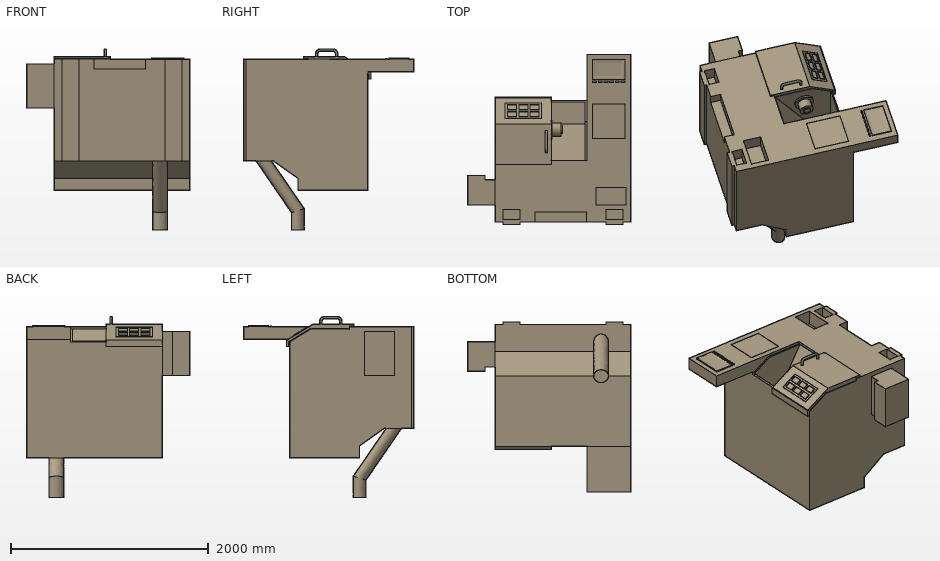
import cadquery as cq
import math


WIDTH = 1370.0
DEPTH = 1231.0
HEIGHT = 1329.0
BASE_FRONT = 522.0
BASE_STEP_HEIGHT = 123.0
OVERHANG_START = 271.0
OVERHANG_HEIGHT = 300.0

ARM_X = 925.0
ARM_LENGTH = 464.0
ARM_HEIGHT = 128.0

RIB_INSET = 77.0
RIB_WIDTH = 176.0
RIB_DEPTH = 25.0
RIB_POCKET_LENGTH = 103.0
POCKET_DEPTH = 148.0

GRIP_X = 403.0
GRIP_WIDTH = 519.0
GRIP_SIZE = 103.0
TRAY_X = 1020.0
TRAY_Y = 172.0
TRAY_WIDTH = 300.0
TRAY_LENGTH = 180.0

DOOR_WIDTH = 568.0
DOOR_RISE = 25.0
DOOR_TOP = HEIGHT + DOOR_RISE
DOOR_THICKNESS = 45.0
DOOR_LIP = 44.0
DOOR_REAR_THICKNESS = 25.0
DOOR_SKIRT_BOTTOM = 1125.0
DOOR_APEX_Y = 993.0
DOOR_SLOPE = 31.3
DOOR_CORNER_FLAT = 7.0
DOOR_GAP = 5.0

TRACK_FRONT = 625.0
TRACK_FLOOR = DOOR_TOP - DOOR_THICKNESS - DOOR_GAP

CHAMBER_LEFT = 555.0
CHAMBER_RIGHT = 909.0
CHAMBER_WALL = 15.0
CHAMBER_BACK = DEPTH - CHAMBER_WALL
CHUTE_END = 990.0
CHUTE_SLOPE = 58.8

SPINDLE_Y = 935.0
SPINDLE_Z = 1100.0
SPINDLE_STEPS = [(190.0, 575.0), (135.0, 665.0), (75.0, 678.0)]

BOX_WIDTH = 279.0
BOX_Y = 172.0
BOX_LENGTH = 300.0
BOX_BOTTOM = 832.0
BOX_HEIGHT = 447.0
BOX_NOTCH_WIDTH = 103.0
BOX_NOTCH_LENGTH = 42.0

PIPE_X = 1070.0
PIPE_SIZE_X = 150.0
PIPE_SIZE_Y = 130.0
PIPE_TOP_Y = 176.0
PIPE_EMBEDDING = 73.0
PIPE_ELBOW_Y = 522.0
PIPE_ELBOW_Z = -203.0
PIPE_BOTTOM = -401.0

SCREEN_X = 984.0
SCREEN_Y = 1444.0
SCREEN_WIDTH = 326.0
SCREEN_LENGTH = 200.0
SCREEN_HEIGHT = 11.0
BEZEL_BORDER = 15.0
BEZEL_WIDTH = 16.0
BEZEL_DEPTH = 4.0
KEY_COUNT = 6
KEY_WIDTH = 38.0
KEY_LENGTH = 13.0
KEY_HEIGHT = 5.0
KEY_Y = 1413.0
PANEL_Y = 843.0
PANEL_LENGTH = 352.0
PANEL_DEPTH = 2.0

FIELD_X = 100.0
FIELD_WIDTH = 366.0
FIELD_START = 62.0
FIELD_LENGTH = 183.0
FIELD_DEPTH = 2.0
BUTTON_COLUMNS = 3
BUTTON_ROWS = 2
BUTTON_WIDTH = 90.0
BUTTON_LENGTH = 57.0
BUTTON_PITCH_X = 114.0
BUTTON_PITCH_Y = 82.0
BUTTON_HEIGHT = 5.0

HANDLE_X = 517.0
HANDLE_FRONT_Y = 713.0
HANDLE_BACK_Y = 915.0
HANDLE_DIAMETER = 25.0
HANDLE_TOP = 1431.0
HANDLE_BEND = 37.0


def box(x, y, z, width, length, height):
    """Box with its lowest corner at (x, y, z)."""
    return cq.Workplane("XY").box(width, length, height, centered=False).translate((x, y, z))


def side_profile(points, left, right):
    """Prism along X with an outline given as (y, z) points."""
    return cq.Workplane("YZ").polyline(points).close().extrude(right - left).translate((left, 0, 0))


def drop(run, slope):
    """Height lost over a horizontal run at a slope in degrees."""
    return run * math.tan(math.radians(slope))


def door_underside(y):
    """Height of the underside of the door's slope at a given Y."""
    vertical_thickness = DOOR_REAR_THICKNESS / math.cos(math.radians(DOOR_SLOPE))
    return DOOR_TOP - vertical_thickness - drop(y - DOOR_APEX_Y, DOOR_SLOPE)


def door_inner_apex():
    """Y at which the undersides of the door's flat part and slope meet."""
    height_above = door_underside(DOOR_APEX_Y) - (DOOR_TOP - DOOR_THICKNESS)
    return DOOR_APEX_Y + height_above / math.tan(math.radians(DOOR_SLOPE))


def cabinet_block():
    shell = side_profile(
        [
            (0, OVERHANG_HEIGHT),
            (OVERHANG_START, OVERHANG_HEIGHT),
            (BASE_FRONT, BASE_STEP_HEIGHT),
            (BASE_FRONT, 0),
            (DEPTH, 0),
            (DEPTH, HEIGHT),
            (0, HEIGHT),
        ],
        0,
        WIDTH,
    )
    arm = box(ARM_X, DEPTH, HEIGHT - ARM_HEIGHT, WIDTH - ARM_X, ARM_LENGTH, ARM_HEIGHT)
    return shell.union(arm)


def door_track():
    """Space cut from the cabinet under the door, up to the arm."""
    return side_profile(
        [
            (TRACK_FRONT, DOOR_TOP),
            (TRACK_FRONT, TRACK_FLOOR),
            (door_inner_apex(), TRACK_FLOOR),
            (DEPTH, door_underside(DEPTH) - DOOR_GAP),
            (DEPTH, DOOR_TOP),
        ],
        0,
        ARM_X,
    )


def chamber():
    """Chamber whose front wall is a chute down to a flat floor."""
    floor = TRACK_FLOOR - drop(CHUTE_END - TRACK_FRONT, CHUTE_SLOPE)
    return side_profile(
        [
            (TRACK_FRONT, DOOR_TOP),
            (TRACK_FRONT, TRACK_FLOOR),
            (CHUTE_END, floor),
            (CHAMBER_BACK, floor),
            (CHAMBER_BACK, DOOR_TOP),
        ],
        CHAMBER_LEFT,
        CHAMBER_RIGHT,
    )


def spindle():
    turned = None
    start = CHAMBER_LEFT
    for diameter, end in SPINDLE_STEPS:
        step = (
            cq.Workplane("YZ", origin=(start, SPINDLE_Y, SPINDLE_Z))
            .circle(diameter / 2)
            .extrude(end - start)
        )
        turned = step if turned is None else turned.union(step)
        start = end
    return turned


def electrical_box():
    body = box(-BOX_WIDTH, BOX_Y, BOX_BOTTOM, BOX_WIDTH, BOX_LENGTH, BOX_HEIGHT)
    notch = box(
        -BOX_NOTCH_WIDTH,
        BOX_Y + BOX_LENGTH - BOX_NOTCH_LENGTH,
        BOX_BOTTOM,
        BOX_NOTCH_WIDTH,
        BOX_NOTCH_LENGTH,
        BOX_HEIGHT,
    )
    return body.cut(notch)


def drain_pipe():
    """Upright pipe mitred to a leaning one, whose square end is buried in the overhang."""
    lean = (PIPE_ELBOW_Y - PIPE_TOP_Y) / (OVERHANG_HEIGHT - PIPE_ELBOW_Z)
    end_y = PIPE_TOP_Y - lean * PIPE_EMBEDDING
    end_z = OVERHANG_HEIGHT + PIPE_EMBEDDING
    path = (
        cq.Workplane("YZ", origin=(PIPE_X, 0, 0))
        .moveTo(PIPE_ELBOW_Y, PIPE_BOTTOM)
        .lineTo(PIPE_ELBOW_Y, PIPE_ELBOW_Z)
        .lineTo(end_y, end_z)
    )
    return (
        cq.Workplane("XY", origin=(PIPE_X, PIPE_ELBOW_Y, PIPE_BOTTOM))
        .ellipse(PIPE_SIZE_X / 2, PIPE_SIZE_Y / 2)
        .sweep(path, transition="right")
    )


def control_screen():
    plate = box(SCREEN_X, SCREEN_Y, HEIGHT, SCREEN_WIDTH, SCREEN_LENGTH, SCREEN_HEIGHT)
    center = (SCREEN_X + SCREEN_WIDTH / 2, SCREEN_Y + SCREEN_LENGTH / 2, HEIGHT + SCREEN_HEIGHT)
    taper = math.degrees(math.atan(BEZEL_WIDTH / BEZEL_DEPTH))
    bezel = (
        cq.Workplane("XY", origin=center)
        .rect(SCREEN_WIDTH - 2 * BEZEL_BORDER, SCREEN_LENGTH - 2 * BEZEL_BORDER)
        .extrude(-BEZEL_DEPTH, taper=taper)
    )
    return plate.cut(bezel)


def screen_keys():
    pitch = (SCREEN_WIDTH - KEY_WIDTH) / (KEY_COUNT - 1)
    keys = cq.Workplane("XY")
    for i in range(KEY_COUNT):
        keys = keys.add(box(SCREEN_X + i * pitch, KEY_Y, HEIGHT, KEY_WIDTH, KEY_LENGTH, KEY_HEIGHT))
    return keys.combine()


def make_machine():
    machine = cabinet_block().cut(door_track()).cut(chamber())
    rib_height = HEIGHT - OVERHANG_HEIGHT
    for rib_x in (RIB_INSET, WIDTH - RIB_INSET - RIB_WIDTH):
        rib = box(rib_x, -RIB_DEPTH, OVERHANG_HEIGHT, RIB_WIDTH, RIB_DEPTH, rib_height)
        pocket = box(rib_x, RIB_DEPTH, HEIGHT - POCKET_DEPTH, RIB_WIDTH, RIB_POCKET_LENGTH, POCKET_DEPTH)
        machine = machine.union(rib).cut(pocket)
    machine = machine.cut(box(GRIP_X, 0, HEIGHT - GRIP_SIZE, GRIP_WIDTH, GRIP_SIZE, GRIP_SIZE))
    machine = machine.cut(
        box(TRAY_X, TRAY_Y, HEIGHT - POCKET_DEPTH, TRAY_WIDTH, TRAY_LENGTH, POCKET_DEPTH)
    )
    machine = machine.cut(
        box(SCREEN_X, PANEL_Y, HEIGHT - PANEL_DEPTH, SCREEN_WIDTH, PANEL_LENGTH, PANEL_DEPTH)
    )
    for part in (spindle(), electrical_box(), drain_pipe(), control_screen(), screen_keys()):
        machine = machine.union(part)
    return machine


def door_plate():
    skirt_inside = DEPTH + DOOR_GAP
    skirt_outside = skirt_inside + DOOR_REAR_THICKNESS
    slope_end = skirt_outside - DOOR_CORNER_FLAT
    corner_height = DOOR_TOP - drop(slope_end - DOOR_APEX_Y, DOOR_SLOPE)
    underside = DOOR_TOP - DOOR_THICKNESS
    lip_front = TRACK_FRONT - DOOR_LIP
    lip_underside = HEIGHT + DOOR_GAP
    return side_profile(
        [
            (lip_front, DOOR_TOP),
            (DOOR_APEX_Y, DOOR_TOP),
            (slope_end, corner_height),
            (skirt_outside, corner_height),
            (skirt_outside, DOOR_SKIRT_BOTTOM),
            (skirt_inside, DOOR_SKIRT_BOTTOM),
            (skirt_inside, door_underside(skirt_inside)),
            (door_inner_apex(), underside),
            (TRACK_FRONT, underside),
            (TRACK_FRONT, lip_underside),
            (lip_front, lip_underside),
        ],
        0,
        DOOR_WIDTH,
    )


def slope_plane():
    """Plane on the door's slope, centred on the button field, local Y pointing up the slope."""
    angle = math.radians(DOOR_SLOPE)
    along = FIELD_START + FIELD_LENGTH / 2
    origin = (
        FIELD_X + FIELD_WIDTH / 2,
        DOOR_APEX_Y + along * math.cos(angle),
        DOOR_TOP - along * math.sin(angle),
    )
    return cq.Plane(origin=origin, xDir=(-1, 0, 0), normal=(0, math.sin(angle), math.cos(angle)))


def button_field():
    return cq.Workplane(slope_plane()).rect(FIELD_WIDTH, FIELD_LENGTH).extrude(-FIELD_DEPTH)


def buttons():
    return (
        cq.Workplane(slope_plane())
        .workplane(offset=-FIELD_DEPTH)
        .rarray(BUTTON_PITCH_X, BUTTON_PITCH_Y, BUTTON_COLUMNS, BUTTON_ROWS)
        .rect(BUTTON_WIDTH, BUTTON_LENGTH)
        .extrude(FIELD_DEPTH + BUTTON_HEIGHT)
    )


def handle():
    level = HANDLE_TOP - HANDLE_DIAMETER / 2
    corner = HANDLE_BEND * (1 - math.sqrt(0.5))
    path = (
        cq.Workplane("YZ", origin=(HANDLE_X, 0, 0))
        .moveTo(HANDLE_FRONT_Y, DOOR_TOP)
        .lineTo(HANDLE_FRONT_Y, level - HANDLE_BEND)
        .threePointArc((HANDLE_FRONT_Y + corner, level - corner), (HANDLE_FRONT_Y + HANDLE_BEND, level))
        .lineTo(HANDLE_BACK_Y - HANDLE_BEND, level)
        .threePointArc((HANDLE_BACK_Y - corner, level - corner), (HANDLE_BACK_Y, level - HANDLE_BEND))
        .lineTo(HANDLE_BACK_Y, DOOR_TOP)
    )
    return (
        cq.Workplane("XY", origin=(HANDLE_X, HANDLE_FRONT_Y, DOOR_TOP))
        .circle(HANDLE_DIAMETER / 2)
        .sweep(path)
    )


def make_door():
    return door_plate().cut(button_field()).union(buttons()).union(handle())


machine = make_machine()
door = make_door()
result = cq.Compound.makeCompound([machine.solids().val(), door.solids().val()])